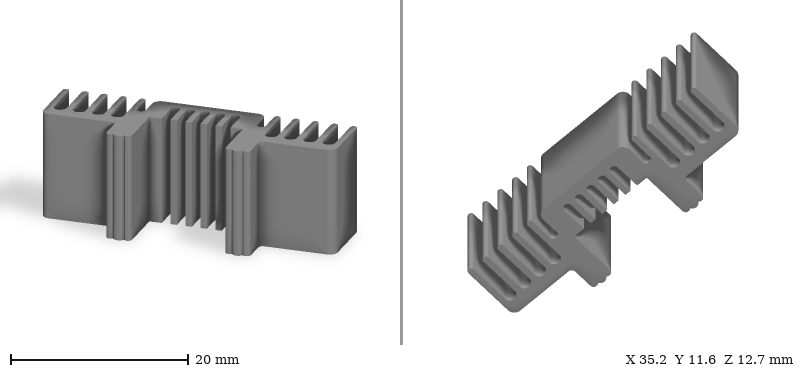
import cadquery as cq
import math

width = 35.2
depth = 11.6
height = 12.7

outer_gap_count = 4
fin_thickness = 0.77
outer_gap_width = 1.5
outer_gap_depth = 6.3
fin_pitch = fin_thickness + outer_gap_width
base_bottom = 7.9
corner_radius = 1.0

block_half_width = 6.65
narrow_gap_width = 1.05
narrow_gap_depth = 3.73
inner_fin_inner = block_half_width + narrow_gap_width
inner_fin_outer = width / 2 - outer_gap_count * fin_pitch

channel_ceiling = 5.0
slot_count = 5
slot_pitch = 1.8
slot_width = 1.05
slot_top = 1.25

leg_inner = 5.6
leg_outer = 8.62
leg_root_radius = 0.5
leg_center = (leg_inner + leg_outer) / 2
leg_half_width = (leg_outer - leg_inner) / 2
side_lobe_width = 0.85
side_lobe_bottom = 11.4
side_lobe_outer_radius = 0.5
side_lobe_inner_radius = 0.25


def block(x_start, x_end, y_top, y_bottom):
    """Full-height box between two X positions and two depths below the fin tips."""
    return (
        cq.Workplane("XY")
        .moveTo((x_start + x_end) / 2, -(y_top + y_bottom) / 2)
        .rect(x_end - x_start, y_bottom - y_top)
        .extrude(height)
    )


def round_end(x_center, y_center, diameter):
    return cq.Workplane("XY").center(x_center, -y_center).circle(diameter / 2).extrude(height)


def gap(x_start, gap_width, gap_depth):
    """Gap open at the fin tips with a semicircular bottom."""
    straight_depth = gap_depth - gap_width / 2
    opening = block(x_start, x_start + gap_width, 0, straight_depth)
    return opening.union(round_end(x_start + gap_width / 2, straight_depth, gap_width))


def fin_tip(x_start, x_end):
    """Semicircular fin end reaching the top of the profile."""
    tip_radius = (x_end - x_start) / 2
    return round_end((x_start + x_end) / 2, tip_radius, 2 * tip_radius)


def leg():
    """Leg with a wide middle lobe between two flat-tipped, rounded side lobes."""
    side_end = side_lobe_bottom - side_lobe_outer_radius
    cusp_depth = side_lobe_bottom - side_lobe_inner_radius
    cusp_offset = leg_half_width - side_lobe_width
    flat_inner = cusp_offset + side_lobe_inner_radius
    flat_outer = leg_half_width - side_lobe_outer_radius
    outer_bulge = side_lobe_outer_radius * math.sqrt(0.5)
    inner_bulge = side_lobe_inner_radius * math.sqrt(0.5)
    return (
        cq.Workplane("XY")
        .center(leg_center, 0)
        .moveTo(-leg_half_width, -outer_gap_depth)
        .lineTo(-leg_half_width, -side_end)
        .threePointArc(
            (-flat_outer - outer_bulge, -side_end - outer_bulge), (-flat_outer, -side_lobe_bottom)
        )
        .lineTo(-flat_inner, -side_lobe_bottom)
        .threePointArc(
            (-flat_inner + inner_bulge, -cusp_depth - inner_bulge), (-cusp_offset, -cusp_depth)
        )
        .threePointArc((0, -depth), (cusp_offset, -cusp_depth))
        .threePointArc(
            (flat_inner - inner_bulge, -cusp_depth - inner_bulge), (flat_inner, -side_lobe_bottom)
        )
        .lineTo(flat_outer, -side_lobe_bottom)
        .threePointArc(
            (flat_outer + outer_bulge, -side_end - outer_bulge), (leg_half_width, -side_end)
        )
        .lineTo(leg_half_width, -outer_gap_depth)
        .close()
        .extrude(height)
    )


def leg_root_fillet():
    """Concave fillet between the base underside and the leg's outer face."""
    corner = block(leg_outer, leg_outer + leg_root_radius, base_bottom, base_bottom + leg_root_radius)
    return corner.cut(
        round_end(leg_outer + leg_root_radius, base_bottom + leg_root_radius, 2 * leg_root_radius)
    )


def finned_half():
    """The +X half: base, fins, leg and half of the central block."""
    fin_starts = [inner_fin_outer + outer_gap_width + i * fin_pitch for i in range(outer_gap_count)]
    fins = [(inner_fin_inner, inner_fin_outer)] + [(x, x + fin_thickness) for x in fin_starts]

    half = block(leg_inner, width / 2, 0, base_bottom)
    half = half.edges("|Z and >X and <Y").fillet(corner_radius)
    half = half.cut(gap(block_half_width, narrow_gap_width, narrow_gap_depth))
    for x_start, x_end in fins:
        half = half.cut(block(x_start, x_end, 0, (x_end - x_start) / 2))
        half = half.union(fin_tip(x_start, x_end))
    for i in range(outer_gap_count):
        half = half.cut(gap(inner_fin_outer + i * fin_pitch, outer_gap_width, outer_gap_depth))

    shoulder = block(block_half_width - corner_radius, block_half_width, 0, corner_radius)
    shoulder = shoulder.cut(
        round_end(block_half_width - corner_radius, corner_radius, 2 * corner_radius)
    )
    half = half.cut(shoulder)

    half = half.union(block(0, leg_inner, 0, channel_ceiling))
    return half.union(leg()).union(leg_root_fillet())


def ceiling_slot(x_center):
    """Slot open to the channel with a semicircular top."""
    slot_radius = slot_width / 2
    arc_center = slot_top + slot_radius
    opening = block(x_center - slot_radius, x_center + slot_radius, arc_center, channel_ceiling)
    return opening.union(round_end(x_center, arc_center, slot_width))


half = finned_half()
result = half.union(half.mirror("YZ"))
for i in range(slot_count):
    result = result.cut(ceiling_slot((i - (slot_count - 1) / 2) * slot_pitch))
result = result.clean()